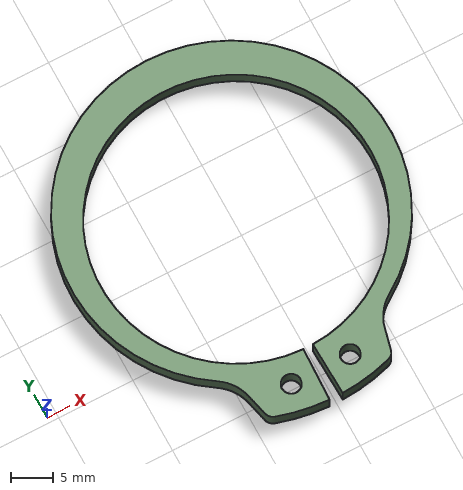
import cadquery as cq
import math

thickness = 2.5
bore_radius = 18.2
ring_diameter = 42.95
ring_radius = ring_diameter / 2
ring_offset = 1.15

lug_radius = 25.3
lug_half_width = 8.35
flank_angle = 13.6
flank_top_y = -16.75
gap_half_angle = 2.0

hole_diameter = 2.5
hole_x = 3.98
hole_y = -21.35

root_fillet = 5.5
corner_fillet = 1.3
overshoot = 2.4


def disc(radius, center_y=0.0):
    return cq.Workplane("XY").center(0, center_y).circle(radius).extrude(thickness)


def lug_blank():
    """Tapered block for both lugs, bounded outside by the lug end arc."""
    taper = math.tan(math.radians(flank_angle))
    corner_y = -math.sqrt(lug_radius**2 - lug_half_width**2)
    bottom_y = -lug_radius - overshoot
    top_half = lug_half_width + (flank_top_y - corner_y) * taper
    bottom_half = lug_half_width + (bottom_y - corner_y) * taper
    outline = [
        (-top_half, flank_top_y),
        (top_half, flank_top_y),
        (bottom_half, bottom_y),
        (-bottom_half, bottom_y),
    ]
    block = cq.Workplane("XY").polyline(outline).close().extrude(thickness)
    return block.intersect(disc(lug_radius))


def gap_wedge():
    """Radial wedge that separates the two lugs."""
    depth = lug_radius + overshoot
    half_width = depth * math.tan(math.radians(gap_half_angle))
    outline = [(0, 0), (half_width, -depth), (-half_width, -depth)]
    return cq.Workplane("XY").polyline(outline).close().extrude(thickness)


lugs = lug_blank().edges("|Z").edges("<Y").fillet(corner_fillet)
blank = disc(ring_radius, ring_offset).union(lugs)

root_zone = cq.selectors.BoxSelector(
    (-ring_radius, hole_y, 0), (ring_radius, flank_top_y, thickness)
)
blank = blank.edges("|Z").edges(root_zone).fillet(root_fillet)

holes = (
    cq.Workplane("XY")
    .pushPoints([(-hole_x, hole_y), (hole_x, hole_y)])
    .circle(hole_diameter / 2)
    .extrude(thickness)
)

result = blank.cut(disc(bore_radius)).cut(gap_wedge()).cut(holes)